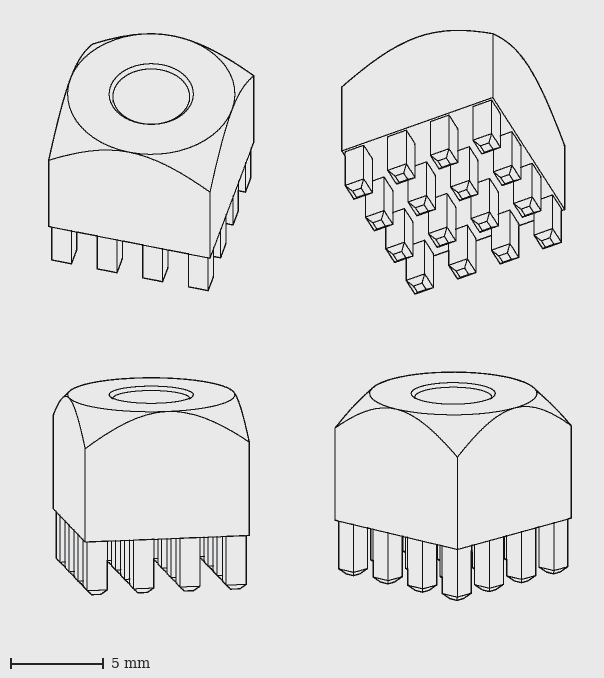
import cadquery as cq
import math

side = 9.0
total_height = 10.0
pin_length = 3.0
block_height = total_height - pin_length
crown_angle = 45.0
crown_radius = side / 2

pins_per_side = 4
pin_pitch = 2.54
pin_width = 1.11
pin_tip_chamfer = 0.3

hole_diameter = 4.13
hole_chamfer = 0.2
hole_depth = 5.0
drill_point_angle = 118.0

full_turn = 360.0


def make_block():
    """Square block whose top corners are cut back by a cone."""
    block = cq.Workplane("XY").box(side, side, block_height, centered=(True, True, False))
    foot_radius = crown_radius + block_height / math.tan(math.radians(crown_angle))
    crown = (
        cq.Workplane("XZ")
        .moveTo(0, 0)
        .lineTo(foot_radius, 0)
        .lineTo(crown_radius, block_height)
        .lineTo(0, block_height)
        .close()
        .revolve(full_turn, (0, 0), (0, 1))
    )
    return block.intersect(crown)


def make_hole():
    """Chamfered blind hole with a conical bottom, ready to subtract."""
    radius = hole_diameter / 2
    floor = block_height - hole_depth
    point_height = radius / math.tan(math.radians(drill_point_angle / 2))
    return (
        cq.Workplane("XZ")
        .moveTo(0, floor - point_height)
        .lineTo(radius, floor)
        .lineTo(radius, block_height - hole_chamfer)
        .lineTo(radius + hole_chamfer, block_height)
        .lineTo(0, block_height)
        .close()
        .revolve(full_turn, (0, 0), (0, 1))
    )


def make_pins():
    """Square grid of pins below the block, each with a chamfered tip."""
    pin = (
        cq.Workplane("XY")
        .box(pin_width, pin_width, pin_length, centered=(True, True, False))
        .translate((0, 0, -pin_length))
        .faces("<Z")
        .chamfer(pin_tip_chamfer)
    )
    grid = cq.Workplane("XY").rarray(pin_pitch, pin_pitch, pins_per_side, pins_per_side)
    return grid.eachpoint(lambda place: pin.val().moved(place))


result = make_block().cut(make_hole()).union(make_pins())